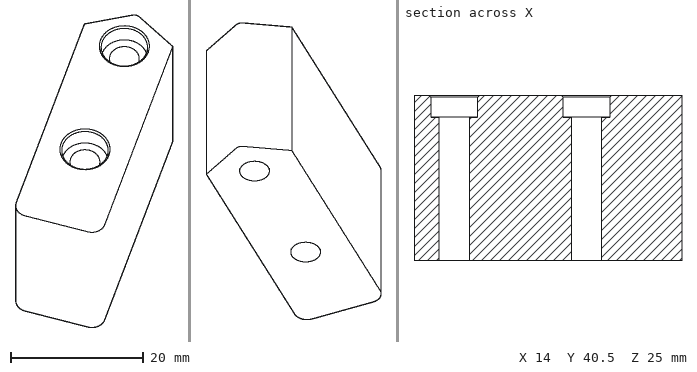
import cadquery as cq
import math

width = 14.0
length = 40.5
height = 25.0
corner_radius = 2.02
tip_radius = 1.0
tip_slope = math.radians(30)

hole_diameter = 4.5
counterbore_diameter = 7.0
counterbore_depth = 3.3
rim_chamfer = 0.3
hole_spacing = 20.0
front_hole_offset = 14.45

front_y = -length / 2
sharp_tip_y = length / 2 + tip_radius * (1 / math.cos(tip_slope) - 1)
shoulder_y = sharp_tip_y - width / 2 * math.tan(tip_slope)
hole_centers_y = [front_y + front_hole_offset + i * hole_spacing for i in range(2)]


def make_body():
    """Block with a pointed back end and rounded front corners."""
    half_width = width / 2
    body = (
        cq.Workplane("XY")
        .polyline([
            (-half_width, front_y),
            (half_width, front_y),
            (half_width, shoulder_y),
            (0, sharp_tip_y),
            (-half_width, shoulder_y),
        ])
        .close()
        .extrude(height)
    )
    body = body.edges("|Z and <Y").fillet(corner_radius)
    return body.edges("|Z and >Y").fillet(tip_radius)


def make_screw_hole(center_y):
    """Cutter for a through hole with a chamfered counterbore in the top face."""
    hole_radius = hole_diameter / 2
    bore_radius = counterbore_diameter / 2
    rim_radius = bore_radius + rim_chamfer
    bore_floor = height - counterbore_depth
    return (
        cq.Workplane("XZ", origin=(0, center_y, 0))
        .polyline([
            (0, 0),
            (hole_radius, 0),
            (hole_radius, bore_floor),
            (bore_radius, bore_floor),
            (bore_radius, height - rim_chamfer),
            (rim_radius, height),
            (0, height),
        ])
        .close()
        .revolve(360, (0, 0, 0), (0, 1, 0))
    )


result = make_body()
for hole_y in hole_centers_y:
    result = result.cut(make_screw_hole(hole_y))